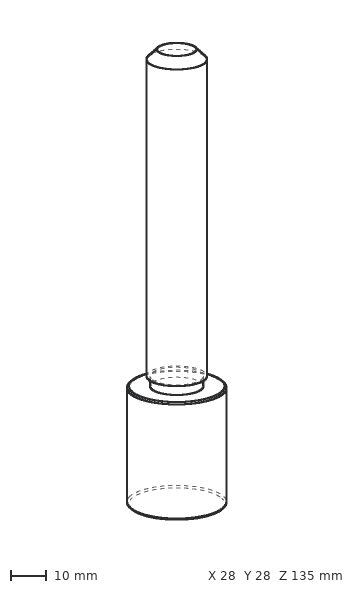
import cadquery as cq

total_height = 135.0

head_diameter = 28.0
head_height = 35.0
head_chamfer = 0.5

neck_diameter = 15.0
neck_height = 3.0

shank_diameter = 17.0
tip_chamfer = 3.0
shank_height = total_height - head_height - neck_height


def cylinder(diameter, height, base_z):
    """Solid cylinder on the Z axis, standing on base_z."""
    return cq.Workplane("XY").workplane(offset=base_z).circle(diameter / 2).extrude(height)


head = cylinder(head_diameter, head_height, 0).faces("<Z or >Z").chamfer(head_chamfer)
neck = cylinder(neck_diameter, neck_height, head_height)
shank = cylinder(shank_diameter, shank_height, head_height + neck_height)
shank = shank.faces(">Z").chamfer(tip_chamfer)

result = head.union(neck).union(shank)